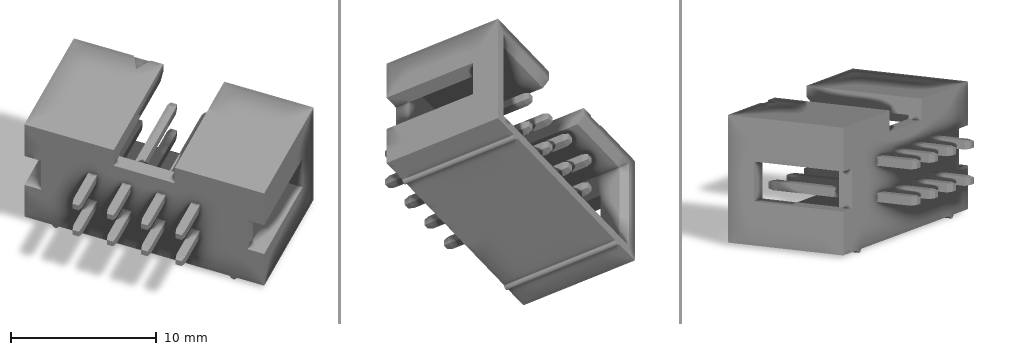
import cadquery as cq

length = 17.78
depth = 9.01
height = 8.96
mid_height = height / 2

end_wall = 1.23
long_wall = 1.25
floor = 1.01
lead_in = 0.5

key_width = 4.52
key_depth = 1.51
slot_height = 2.81
slot_setback = 2.01

mark_width = 1.26
mark_length = 1.14
mark_depth = 0.1
mark_x = -3.8

rib_radius = 0.23
rib_spacing = 13.2

pin_columns = 4
pin_rows = 2
pin_pitch = 2.55
pin_width = 0.64
pin_tip_width = 0.46
pin_tip_length = 0.41
pin_tail = 3.13
pin_recess = 0.5


def box_between(x_range, y_range, z_range):
    """Axis-aligned box given by its limits along each axis."""
    x0, x1 = x_range
    y0, y1 = y_range
    z0, z1 = z_range
    return cq.Workplane("XY").box(x1 - x0, y1 - y0, z1 - z0, centered=False).translate((x0, y0, z0))


def tapered_block(base_center, direction, base_size, end_size, taper_length):
    """Frustum along Y between two rectangles; direction is -1 or +1, sizes are (X, Z)."""
    base_plane = cq.Plane(base_center, xDir=(1, 0, 0), normal=(0, direction, 0))
    return (
        cq.Workplane(base_plane)
        .rect(*base_size)
        .workplane(offset=taper_length)
        .rect(*end_size)
        .loft()
    )


def cavity():
    """Pocket open at the mating face, with a lead-in chamfer all around its mouth."""
    cavity_length = length - 2 * end_wall
    cavity_height = height - 2 * long_wall
    pocket = box_between(
        (-cavity_length / 2, cavity_length / 2),
        (floor, depth),
        (long_wall, height - long_wall),
    )
    mouth = tapered_block(
        (0, depth - lead_in, mid_height),
        1,
        (cavity_length, cavity_height),
        (cavity_length + 2 * lead_in, cavity_height + 2 * lead_in),
        lead_in,
    )
    return pocket.union(mouth)


def key_notch():
    """Polarising notch through the top wall, over the full depth."""
    return box_between((-key_width / 2, key_width / 2), (0, depth), (height - key_depth, height))


def end_slot(side):
    """Slot through one end wall, open at the back; side is -1 or +1."""
    outer = side * length / 2
    inner = side * (length / 2 - end_wall)
    return box_between(
        sorted((outer, inner)),
        (0, depth - slot_setback),
        (mid_height - slot_height / 2, mid_height + slot_height / 2),
    )


def pin_one_mark():
    """Shallow triangle that starts at the mating edge of the top face."""
    corners = [
        (mark_x - mark_width / 2, depth),
        (mark_x + mark_width / 2, depth),
        (mark_x, depth - mark_length),
    ]
    return cq.Workplane("XY", origin=(0, 0, height)).polyline(corners).close().extrude(-mark_depth)


def crush_rib(x):
    """Round bar half sunk into the bottom face."""
    return cq.Workplane("XZ", origin=(x, 0, 0)).circle(rib_radius).extrude(-depth)


def pin(x, z):
    """Square pin along Y with a tapered tip at both ends."""
    shank_start = pin_tip_length - pin_tail
    shank_end = depth - pin_recess - pin_tip_length
    shank = box_between(
        (x - pin_width / 2, x + pin_width / 2),
        (shank_start, shank_end),
        (z - pin_width / 2, z + pin_width / 2),
    )
    for y, direction in ((shank_start, -1), (shank_end, 1)):
        tip = tapered_block(
            (x, y, z),
            direction,
            (pin_width, pin_width),
            (pin_tip_width, pin_tip_width),
            pin_tip_length,
        )
        shank = shank.union(tip)
    return shank


result = box_between((-length / 2, length / 2), (0, depth), (0, height))
result = result.cut(cavity()).cut(key_notch()).cut(pin_one_mark())

for side in (-1, 1):
    result = result.cut(end_slot(side))
    result = result.union(crush_rib(side * rib_spacing / 2))

for column in range(pin_columns):
    for row in range(pin_rows):
        pin_x = (column - (pin_columns - 1) / 2) * pin_pitch
        pin_z = mid_height + (row - (pin_rows - 1) / 2) * pin_pitch
        result = result.union(pin(pin_x, pin_z))